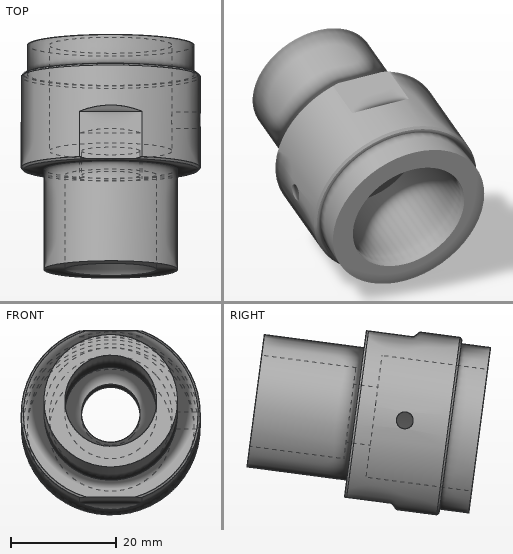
import cadquery as cq
import math

TILT = 7.5
OVERALL_Y = 46.3

COLLAR_DIAMETER = 31.75
COLLAR_LENGTH = 5.6
BODY_DIAMETER = 34.05
SPIGOT_DIAMETER = 25.4
SPIGOT_LENGTH = 19.15
BODY_CHAMFER = 0.4

FRONT_BORE_DIAMETER = 17.45
FRONT_BORE_DEPTH = 18.05
WEB_HOLE_DIAMETER = 11.1
WEB_THICKNESS = 4.65
REAR_BORE_DIAMETER = 23.35

ACROSS_FLATS = 31.9
FLAT_LENGTH = 9.1

SIDE_HOLE_DIAMETER = 3.2
SIDE_HOLE_FROM_REAR = 14.35

tilt_angle = math.radians(TILT)
end_radii = (COLLAR_DIAMETER + SPIGOT_DIAMETER) / 2
LENGTH = (OVERALL_Y - end_radii * math.sin(tilt_angle)) / math.cos(tilt_angle)

BODY_FRONT = -(LENGTH - SPIGOT_LENGTH)
BODY_RADIUS = BODY_DIAMETER / 2


def cylinder(diameter, start, length):
    """Cylinder on the Y axis, running from Y = start toward -Y."""
    return cq.Workplane("XZ", origin=(0, start, 0)).circle(diameter / 2).extrude(length)


def outer_shape():
    collar = cylinder(COLLAR_DIAMETER, 0, COLLAR_LENGTH)
    body_length = LENGTH - SPIGOT_LENGTH - COLLAR_LENGTH
    body = cylinder(BODY_DIAMETER, -COLLAR_LENGTH, body_length).edges().chamfer(BODY_CHAMFER)
    spigot = cylinder(SPIGOT_DIAMETER, BODY_FRONT, SPIGOT_LENGTH)
    return collar.union(body).union(spigot)


def stepped_bore():
    rear_depth = LENGTH - FRONT_BORE_DEPTH - WEB_THICKNESS
    rear_bore = cylinder(REAR_BORE_DIAMETER, 0, rear_depth)
    web_hole = cylinder(WEB_HOLE_DIAMETER, 0, LENGTH)
    front_bore = cylinder(FRONT_BORE_DIAMETER, FRONT_BORE_DEPTH - LENGTH, FRONT_BORE_DEPTH)
    return rear_bore.union(web_hole).union(front_bore)


def top_flat_cutter():
    """Material removed for the upper flat, ending in a 45 degree slope."""
    flat_height = ACROSS_FLATS / 2
    flat_end = BODY_FRONT + FLAT_LENGTH
    slope_rise = BODY_RADIUS - flat_height
    return (
        cq.Workplane("YZ")
        .moveTo(BODY_FRONT, flat_height)
        .lineTo(flat_end, flat_height)
        .lineTo(flat_end + slope_rise, BODY_RADIUS)
        .lineTo(BODY_FRONT, BODY_RADIUS)
        .close()
        .extrude(BODY_RADIUS, both=True)
    )


def side_hole():
    """Radial hole through the +X wall into the rear bore."""
    center = (0, -SIDE_HOLE_FROM_REAR, 0)
    return cq.Workplane("YZ", origin=center).circle(SIDE_HOLE_DIAMETER / 2).extrude(BODY_RADIUS)


flat_cutter = top_flat_cutter()
part = outer_shape().cut(stepped_bore())
part = part.cut(flat_cutter).cut(flat_cutter.mirror("XY"))
part = part.cut(side_hole())

result = part.rotate((0, 0, 0), (1, 0, 0), -TILT)